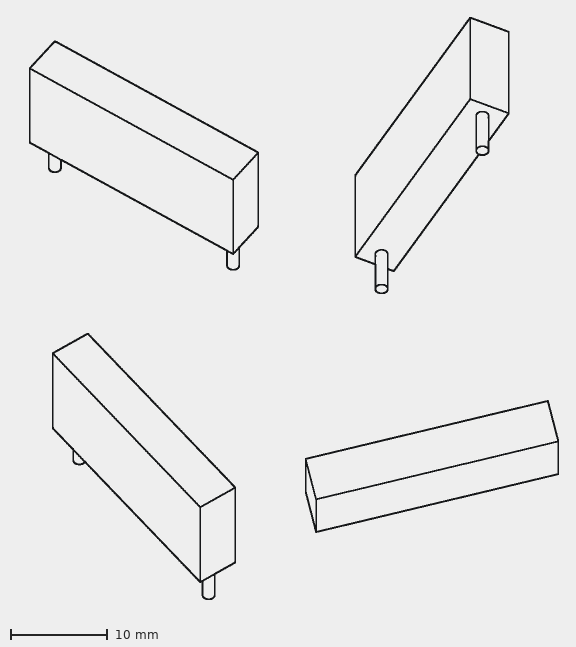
import cadquery as cq

housing_length = 25.8
housing_width = 4.5
housing_height = 12.0

pin_diameter = 1.3
pin_length = 5.1
pin_pitch = 22.6


def make_housing():
    """Plain block resting on the plane Z = 0."""
    return cq.Workplane("XY").box(
        housing_length, housing_width, housing_height, centered=(True, True, False)
    )


def make_pin(x):
    """Straight pin hanging from the underside of the housing."""
    return cq.Workplane("XY").center(x, 0).circle(pin_diameter / 2).extrude(-pin_length)


housing = make_housing()
pins = [make_pin(side * pin_pitch / 2) for side in (-1, 1)]

result = cq.Compound.makeCompound([housing.val(), *[pin.val() for pin in pins]])